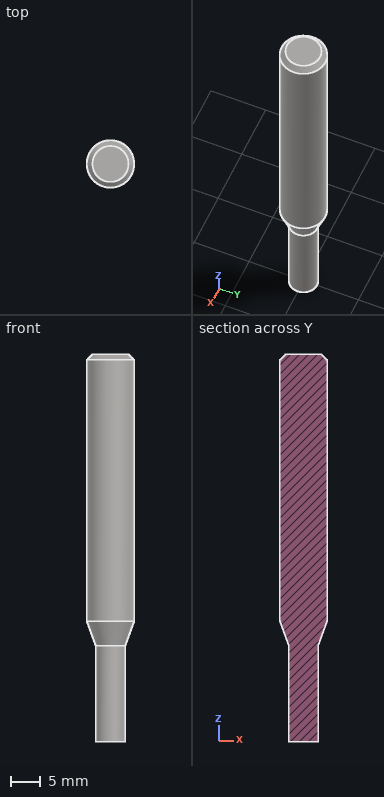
import cadquery as cq

total_length = 65.0
shank_diameter = 8.0
neck_diameter = 5.0
neck_length = 16.1
taper_length = 4.1
chamfer_size = 1.0

shank_radius = shank_diameter / 2
neck_radius = neck_diameter / 2
taper_top = neck_length + taper_length
chamfer_bottom = total_length - chamfer_size

half_section = (
    cq.Workplane("XZ")
    .moveTo(0, 0)
    .lineTo(neck_radius, 0)
    .lineTo(neck_radius, neck_length)
    .lineTo(shank_radius, taper_top)
    .lineTo(shank_radius, chamfer_bottom)
    .lineTo(shank_radius - chamfer_size, total_length)
    .lineTo(0, total_length)
    .close()
)

pin = half_section.revolve(360, (0, 0, 0), (0, 1, 0))
result = pin.translate((0, 0, -total_length / 2))